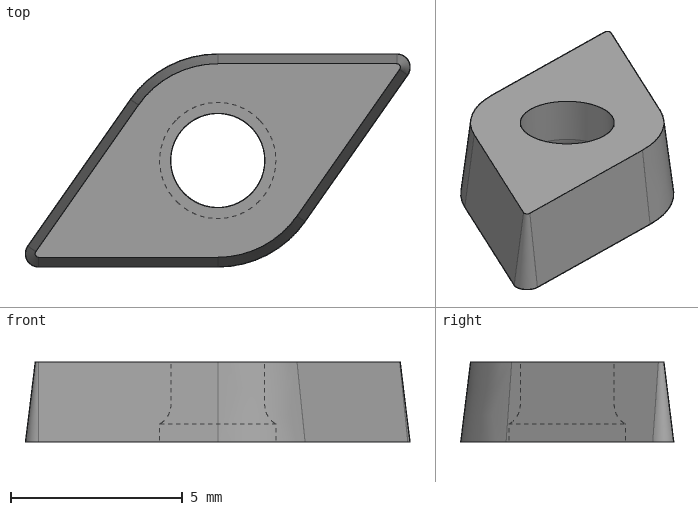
import cadquery as cq
import math

length = 11.21
width = 6.21
thickness = 2.33
tip_angle = 55.0
relief_angle = 7.0
hole_diameter = 2.74
straight_depth = 1.24
flare_radius = 0.65
flare_sweep = math.radians(60)

inscribed_radius = width / 2
half_tip = math.radians(tip_angle / 2)
cotangent = 1 / math.tan(half_tip)
tip_radius = (inscribed_radius * cotangent - length / 2) / (cotangent - 1)
tip_center_x = (inscribed_radius - tip_radius) * cotangent
tip_center_y = inscribed_radius - tip_radius


def polar(radius, degrees):
    angle = math.radians(degrees)
    return radius * math.cos(angle), radius * math.sin(angle)


def tip_point(degrees):
    dx, dy = polar(tip_radius, degrees)
    return tip_center_x + dx, tip_center_y + dy


def opposite(point):
    return -point[0], -point[1]


lean_normal = tip_angle - 90

lean_start = polar(inscribed_radius, lean_normal)
blunt_middle = polar(inscribed_radius, (90 + lean_normal + 180) / 2)
blunt_start = (0, inscribed_radius)
tip_start = tip_point(lean_normal)
tip_middle = tip_point((lean_normal + 90) / 2)
tip_end = tip_point(90)

outline = (
    cq.Workplane("XY")
    .moveTo(*lean_start)
    .lineTo(*tip_start)
    .threePointArc(tip_middle, tip_end)
    .lineTo(*blunt_start)
    .threePointArc(blunt_middle, opposite(lean_start))
    .lineTo(*opposite(tip_start))
    .threePointArc(opposite(tip_middle), opposite(tip_end))
    .lineTo(*opposite(blunt_start))
    .threePointArc(opposite(blunt_middle), lean_start)
    .close()
)

body = outline.extrude(thickness, taper=relief_angle)

hole_radius = hole_diameter / 2
flare_top = thickness - straight_depth
flare_middle = (
    hole_radius + flare_radius * (1 - math.cos(flare_sweep / 2)),
    flare_top - flare_radius * math.sin(flare_sweep / 2),
)
flare_end = (
    hole_radius + flare_radius * (1 - math.cos(flare_sweep)),
    flare_top - flare_radius * math.sin(flare_sweep),
)
hole = (
    cq.Workplane("XZ")
    .moveTo(0, 0)
    .lineTo(flare_end[0], 0)
    .lineTo(*flare_end)
    .threePointArc(flare_middle, (hole_radius, flare_top))
    .lineTo(hole_radius, thickness)
    .lineTo(0, thickness)
    .close()
    .revolve(360, (0, 0, 0), (0, 1, 0))
)

result = body.cut(hole)